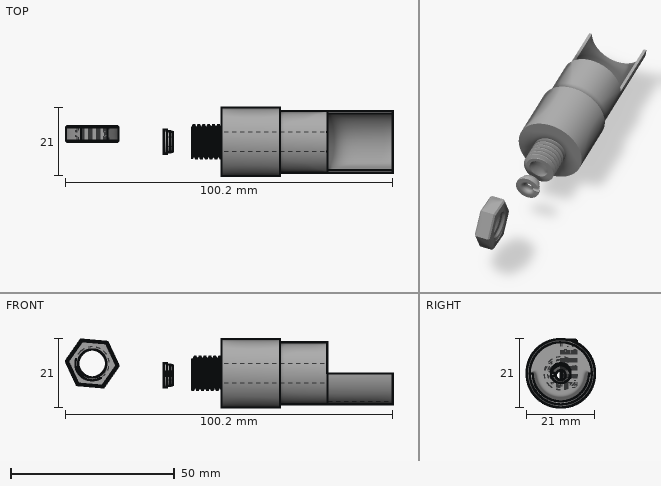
import cadquery as cq
import math

TROUGH_END = 100.2
TROUGH_LENGTH = 20.0
TUBE_LENGTH = 14.5
COLLAR_LENGTH = 17.9
STUB_LENGTH = 9.0
TUBE_END = TROUGH_END - TROUGH_LENGTH
COLLAR_END = TUBE_END - TUBE_LENGTH
COLLAR_START = COLLAR_END - COLLAR_LENGTH
STUB_START = COLLAR_START - STUB_LENGTH

BORE_DIAMETER = 6.0
COLLAR_DIAMETER = 21.0
TUBE_DIAMETER = 19.0
TROUGH_INNER_DIAMETER = 17.2

PITCH = 1.5
STUB_MAJOR_DIAMETER = 10.2
STUB_MINOR_DIAMETER = 8.1
STUB_RIDGE_BASE = 1.3
STUB_RIDGE_CREST = 0.2
STUB_THREAD_PHASE = 0.2
NUT_MINOR_DIAMETER = 8.5
NUT_MAJOR_DIAMETER = 10.3
NUT_RIDGE_BASE = 1.3
NUT_RIDGE_CREST = 0.7
NUT_THREAD_PHASE = PITCH / 4
THREAD_OVERLAP = 0.1

NUT_ACROSS_FLATS = 14.0
NUT_ACROSS_CORNERS = NUT_ACROSS_FLATS / math.cos(math.radians(30))
NUT_TURN = -5.0
NUT_THICKNESS = 5.0
NUT_CHAMFER = 0.5
NUT_FRONT_Y = -0.1
NUT_CENTRE_Z = 3.0
NUT_CENTRE_X = NUT_ACROSS_CORNERS / 2 * math.cos(math.radians(NUT_TURN))

RING_START = 30.0
RING_CENTRE_Z = -0.6
RING_LENGTH = 2.8
FLANGE_THICKNESS = 1.0
FLANGE_DIAMETER = 7.6
NECK_LENGTH = 0.9
NECK_DIAMETER = 6.6
RING_TIP_DIAMETER = 6.0
RING_BORE_DIAMETER = 3.0
RING_MOUTH_RADIUS = 1.0
SLIT_START_ANGLE = -3.5
SLIT_END_ANGLE = 17.5


def cylinder_along_x(start, end, diameter):
    return cq.Workplane("YZ", origin=(start, 0, 0)).circle(diameter / 2).extrude(end - start)


def threaded_ridge(length, base_radius, base_width, crest_radius, crest_width, phase):
    """Right-handed thread ridge around Z from z = 0 to z = length.

    The trapezoid section runs from its base to its crest. On the +X side the first ridge is
    centred at z = phase, which lies between 0 and one pitch.
    """
    start = phase - PITCH
    path = cq.Wire.makeHelix(PITCH, length + 2 * PITCH, base_radius, center=cq.Vector(0, 0, start))
    section = cq.Workplane("XZ").polyline([
        (base_radius, start - base_width / 2),
        (crest_radius, start - crest_width / 2),
        (crest_radius, start + crest_width / 2),
        (base_radius, start + base_width / 2),
    ]).close()
    ridge = section.sweep(cq.Workplane(obj=path), isFrenet=True)
    slab = cq.Workplane("XY").circle(2 * max(base_radius, crest_radius)).extrude(length)
    return ridge.intersect(slab)


def make_housing():
    core = cq.Workplane("XY").circle(STUB_MINOR_DIAMETER / 2).extrude(STUB_LENGTH)
    ridge = threaded_ridge(
        STUB_LENGTH,
        STUB_MINOR_DIAMETER / 2 - THREAD_OVERLAP, STUB_RIDGE_BASE,
        STUB_MAJOR_DIAMETER / 2, STUB_RIDGE_CREST,
        STUB_THREAD_PHASE,
    )
    stub = core.union(ridge).rotate((0, 0, 0), (0, 1, 0), 90).translate((STUB_START, 0, 0))
    collar = cylinder_along_x(COLLAR_START, COLLAR_END, COLLAR_DIAMETER)
    bore = cylinder_along_x(STUB_START, COLLAR_END, BORE_DIAMETER)
    return stub.union(collar).cut(bore)


def make_tube():
    return cylinder_along_x(COLLAR_END, TUBE_END, TUBE_DIAMETER).cut(
        cylinder_along_x(COLLAR_END, TUBE_END, BORE_DIAMETER))


def make_trough():
    pipe = cylinder_along_x(TUBE_END, TROUGH_END, TUBE_DIAMETER).cut(
        cylinder_along_x(TUBE_END, TROUGH_END, TROUGH_INNER_DIAMETER))
    lower_half = cq.Workplane("XY").box(
        TROUGH_END, TUBE_DIAMETER, TUBE_DIAMETER, centered=(False, True, False)
    ).translate((0, 0, -TUBE_DIAMETER))
    return pipe.intersect(lower_half)


def make_nut():
    nut = cq.Workplane("XY").polygon(6, NUT_ACROSS_CORNERS).extrude(NUT_THICKNESS)
    nut = nut.faces("<Z or >Z").chamfer(NUT_CHAMFER)
    nut = nut.rotate((0, 0, 0), (0, 0, 1), -NUT_TURN)
    nut = nut.cut(cq.Workplane("XY").circle(NUT_MAJOR_DIAMETER / 2).extrude(NUT_THICKNESS))
    ridge = threaded_ridge(
        NUT_THICKNESS,
        NUT_MAJOR_DIAMETER / 2 + THREAD_OVERLAP, NUT_RIDGE_BASE,
        NUT_MINOR_DIAMETER / 2, NUT_RIDGE_CREST,
        NUT_THREAD_PHASE,
    )
    nut = nut.union(ridge).rotate((0, 0, 0), (1, 0, 0), -90)
    return nut.translate((NUT_CENTRE_X, NUT_FRONT_Y, NUT_CENTRE_Z))


def make_ring():
    mouth_radius = RING_BORE_DIAMETER / 2 + RING_MOUTH_RADIUS
    neck_end = FLANGE_THICKNESS + NECK_LENGTH
    profile = (
        cq.Workplane("XY")
        .moveTo(0, mouth_radius)
        .lineTo(0, FLANGE_DIAMETER / 2)
        .lineTo(FLANGE_THICKNESS, FLANGE_DIAMETER / 2)
        .lineTo(FLANGE_THICKNESS, NECK_DIAMETER / 2)
        .lineTo(neck_end, NECK_DIAMETER / 2)
        .lineTo(RING_LENGTH, RING_TIP_DIAMETER / 2)
        .lineTo(RING_LENGTH, RING_BORE_DIAMETER / 2)
        .lineTo(RING_MOUTH_RADIUS, RING_BORE_DIAMETER / 2)
        .radiusArc((0, mouth_radius), RING_MOUTH_RADIUS)
        .close()
    )
    ring = profile.revolve(360, (0, 0, 0), (1, 0, 0))
    corners = [
        (-FLANGE_DIAMETER, FLANGE_DIAMETER * math.tan(math.radians(angle)))
        for angle in (SLIT_START_ANGLE, SLIT_END_ANGLE)
    ]
    slit = cq.Workplane("YZ").polyline([(0, 0), *corners]).close().extrude(RING_LENGTH)
    return ring.cut(slit).translate((RING_START, 0, RING_CENTRE_Z))


housing = make_housing()
tube = make_tube()
trough = make_trough()
nut = make_nut()
ring = make_ring()
result = cq.Compound.makeCompound([housing.val(), tube.val(), trough.val(), nut.val(), ring.val()])